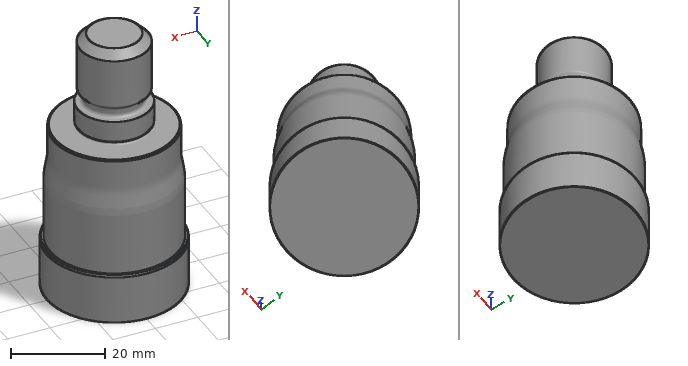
import cadquery as cq
import math

total_height = 63.0
stud_length = 23.0
ring_height = 12.0
shank_top = total_height - stud_length

ring_radius = 15.9
ring_top_chamfer_width = 0.25
ring_top_chamfer_height = 0.5
ring_bottom_chamfer = 0.1

lower_radius = 15.05
upper_radius = 14.25
taper_angle = math.radians(10)
taper_bottom = 27.35
taper_blend_radius = 10.0
shank_top_chamfer = 0.3

neck_radius = 8.1
neck_fillet = 0.4
pilot_radius = 8.5
pilot_bottom = 41.0
pilot_top = 46.0
groove_radius = 6.7
groove_fillet = 0.9
thread_radius = 8.0
thread_bottom = 49.3
thread_end_chamfer = 2.0
runout_angle = math.radians(45)
runout_blend_radius = 0.5


def make_base_ring():
    """Solid disc under the shank, chamfered at the top and the bottom."""
    disc = cq.Workplane("XY").circle(ring_radius).extrude(ring_height)
    disc = disc.faces(">Z").chamfer(ring_top_chamfer_height, ring_top_chamfer_width)
    return disc.faces("<Z").edges().chamfer(ring_bottom_chamfer)


def draw_barrels(profile):
    """Outer line of the shank: lower barrel, blended taper and upper barrel."""
    taper_top = taper_bottom + (lower_radius - upper_radius) / math.tan(taper_angle)
    blend_length = taper_blend_radius * math.tan(taper_angle / 2)
    blend_in = blend_length * math.sin(taper_angle)
    blend_up = blend_length * math.cos(taper_angle)
    return (
        profile.lineTo(lower_radius, ring_height)
        .lineTo(lower_radius, taper_bottom - blend_length)
        .tangentArcPoint((lower_radius - blend_in, taper_bottom + blend_up), relative=False)
        .lineTo(upper_radius + blend_in, taper_top - blend_up)
        .tangentArcPoint((upper_radius, taper_top + blend_length), relative=False)
        .lineTo(upper_radius, shank_top - shank_top_chamfer)
        .lineTo(upper_radius - shank_top_chamfer, shank_top)
    )


def draw_stud(profile):
    """Outer line of the stud, from the shank's top face up to the axis."""
    groove_top = thread_bottom - (thread_radius - groove_radius) / math.tan(runout_angle)
    blend_length = runout_blend_radius * math.tan(runout_angle / 2)
    blend_in = blend_length * math.sin(runout_angle)
    blend_up = blend_length * math.cos(runout_angle)
    return (
        profile.lineTo(neck_radius + neck_fillet, shank_top)
        .tangentArcPoint((neck_radius, shank_top + neck_fillet), relative=False)
        .lineTo(neck_radius, pilot_bottom - (pilot_radius - neck_radius))
        .lineTo(pilot_radius, pilot_bottom)
        .lineTo(pilot_radius, pilot_top)
        .lineTo(groove_radius + groove_fillet, pilot_top)
        .tangentArcPoint((groove_radius, pilot_top + groove_fillet), relative=False)
        .lineTo(groove_radius, groove_top - blend_length)
        .tangentArcPoint((groove_radius + blend_in, groove_top + blend_up), relative=False)
        .lineTo(thread_radius - blend_in, thread_bottom - blend_up)
        .tangentArcPoint((thread_radius, thread_bottom + blend_length), relative=False)
        .lineTo(thread_radius, total_height - thread_end_chamfer)
        .lineTo(thread_radius - thread_end_chamfer, total_height)
        .lineTo(0, total_height)
    )


def make_shank():
    """Shank and stud turned as one piece, standing on the base ring."""
    profile = cq.Workplane("XZ").moveTo(0, ring_height)
    profile = draw_stud(draw_barrels(profile))
    return profile.close().revolve(360, (0, 0, 0), (0, 1, 0))


base_ring = make_base_ring()
shank = make_shank()

result = cq.Compound.makeCompound([base_ring.val(), shank.val()])